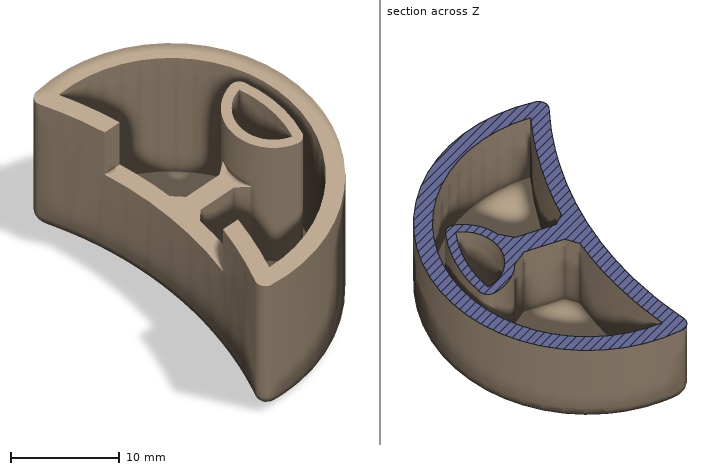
import cadquery as cq
import math

outer_radius = 16.1
height = 18.0
wall = 1.8
floor = 1.8
bottom_round = 1.95
corner_round = 1.0

front_radius = 37.67
front_center_x = 1.22
front_center_y = -front_radius

notch_width = 16.05
notch_depth = 6.02
ledge_height = height - notch_depth

socket_wall = 1.0
socket_half_width = 3.75
socket_back_radius = 12.2
socket_front_y = 8.7

rib_half_width = 1.03
flare = 1.0
rib_front_y = 1.75
rib_back_y = 8.1
back_flare_length = 1.3


def crescent(inset, base, top):
    """Prism of the body outline, moved inward by the inset."""
    disc = cq.Workplane("XY").workplane(offset=base).circle(outer_radius - inset).extrude(top - base)
    front_cutter = (
        cq.Workplane("XY")
        .workplane(offset=base)
        .center(front_center_x, front_center_y)
        .circle(front_radius + inset)
        .extrude(top - base)
    )
    return disc.cut(front_cutter)


def socket_profile(base):
    """D-shaped outline of the socket hole."""
    corner_y = math.sqrt(socket_back_radius**2 - socket_half_width**2)
    return (
        cq.Workplane("XY")
        .workplane(offset=base)
        .moveTo(-socket_half_width, corner_y)
        .threePointArc((0, socket_back_radius), (socket_half_width, corner_y))
        .threePointArc((0, socket_front_y), (-socket_half_width, corner_y))
        .close()
    )


def rib():
    flared = rib_half_width + flare
    right_side = [
        (flared, 0),
        (flared, rib_front_y),
        (rib_half_width, rib_front_y + flare),
        (rib_half_width, rib_back_y - back_flare_length),
        (flared, rib_back_y),
    ]
    tip = (0, socket_front_y)
    left_side = [(-x, y) for x, y in reversed(right_side)]
    profile = cq.Workplane("XY").polyline(right_side + [tip] + left_side).close()
    return profile.extrude(ledge_height).intersect(crescent(wall / 2, floor / 2, height))


body = crescent(0, 0, height)
body = body.edges("|Z").fillet(corner_round)
body = body.faces("<Z").edges().fillet(bottom_round)

shell = body.cut(crescent(wall, floor, height))

notch_back_y = 4.83
notch_length = 9.65
notch = (
    cq.Workplane("XY")
    .workplane(offset=ledge_height)
    .center(0, notch_back_y - notch_length / 2)
    .rect(notch_width, notch_length)
    .extrude(notch_depth)
)
shell = shell.cut(notch)

socket_base = floor / 2
socket = socket_profile(socket_base).offset2D(socket_wall).extrude(height - socket_base)
socket_hole = socket_profile(floor).extrude(height - floor)

result = shell.union(rib()).union(socket).cut(socket_hole)